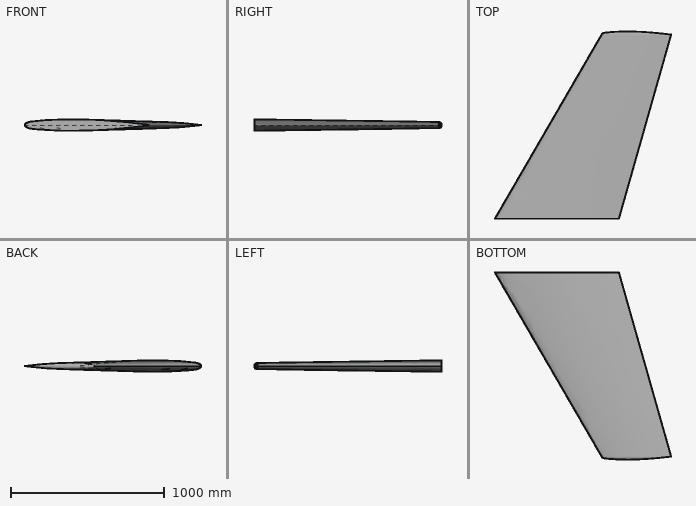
import cadquery as cq
import math

OVERALL_LENGTH = 1146.57
OVERALL_SPAN = 1217.33
ROOT_CHORD = 807.0
ROOT_THICKNESS = 74.8
TIP_CHORD = 453.0
TIP_THICKNESS = ROOT_THICKNESS * TIP_CHORD / ROOT_CHORD
TIP_NOSE_X = OVERALL_LENGTH - TIP_CHORD
CAP_HEIGHT = TIP_THICKNESS / 2
PANEL_SPAN = OVERALL_SPAN - CAP_HEIGHT

NOSE = (0.0, 0.0)
NOSE_ROUND = (0.0015, 0.115)
BROW = (0.012, 0.35)
SHOULDER = (0.0686, 0.695)
CREST = (0.261, 0.985)
AFT = (0.58, 0.9)
STATIONS = (NOSE, NOSE_ROUND, BROW, SHOULDER, CREST, AFT)
TRAILING_SHARE = 0.06


def trailing_radius(thickness):
    """Radius of the rounded trailing edge."""
    return TRAILING_SHARE * thickness / 2


def upper_points(chord, thickness, nose_x):
    """Points of the upper side from the nose to the start of the trailing arc."""
    half = thickness / 2
    points = [(nose_x + along * chord, height * half) for along, height in STATIONS]
    radius = trailing_radius(thickness)
    points.append((nose_x + chord - radius, radius))
    return points


def upper_outline(y, chord, thickness, nose_x):
    """Open upper side in the plane at span y, drawn in X and Z."""
    plane = cq.Plane(origin=(0, y, 0), xDir=(1, 0, 0), normal=(0, -1, 0))
    return cq.Workplane(plane).spline(upper_points(chord, thickness, nose_x))


def section(y, chord, thickness, nose_x):
    """Closed airfoil with a rounded trailing edge."""
    lower_points = [(x, -z) for x, z in reversed(upper_points(chord, thickness, nose_x))]
    outline = upper_outline(y, chord, thickness, nose_x)
    outline = outline.threePointArc((nose_x + chord, 0), lower_points[0])
    return outline.spline(lower_points).close().val()


def make_panel():
    """Panel with straight generators from the root section to the tip section."""
    root = section(0, ROOT_CHORD, ROOT_THICKNESS, 0)
    tip = section(PANEL_SPAN, TIP_CHORD, TIP_THICKNESS, TIP_NOSE_X)
    return cq.Workplane(cq.Solid.makeLoft([root, tip], True))


def make_tip_cap():
    """Rounded tip: upper half of the tip section turned half a turn about its chord line."""
    radius = trailing_radius(TIP_THICKNESS)
    arc_center_x = OVERALL_LENGTH - radius
    arc_offset = radius * math.sqrt(0.5)
    outline = upper_outline(PANEL_SPAN, TIP_CHORD, TIP_THICKNESS, TIP_NOSE_X)
    outline = outline.threePointArc((arc_center_x + arc_offset, arc_offset), (OVERALL_LENGTH, 0))
    return outline.close().revolve(180, (OVERALL_LENGTH, 0), (TIP_NOSE_X, 0))


result = make_panel().union(make_tip_cap()).solids()